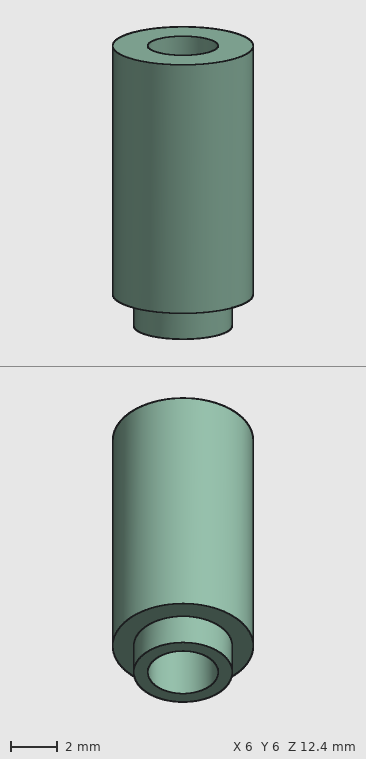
import cadquery as cq

total_height = 12.4
body_diameter = 6.0
spigot_diameter = 4.2
spigot_length = 1.4
bore_diameter = 3.0

body_height = total_height - spigot_length

spigot = cq.Workplane("XY").circle(spigot_diameter / 2).extrude(spigot_length)

spacer = spigot.faces(">Z").workplane().circle(body_diameter / 2).extrude(body_height)

result = spacer.faces(">Z").workplane().circle(bore_diameter / 2).cutThruAll()